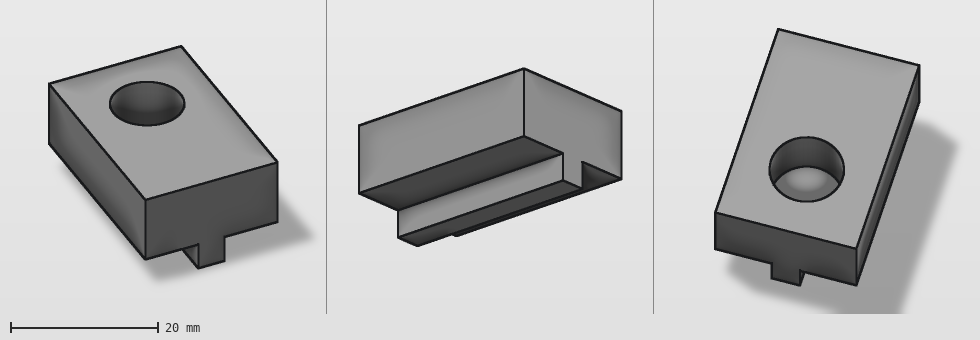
import cadquery as cq

length = 30.0
width = length * 2 / 3
block_height = width / 2

rib_size = width / 5

hole_diameter = 10.1
hole_from_end = length / 3
floor_thickness = rib_size / 2
hole_depth = block_height - floor_thickness


def make_block():
    """Rectangular body with its underside on Z = 0."""
    return cq.Workplane("XY").box(length, width, block_height, centered=(True, True, False))


def make_rib():
    """Square rib hanging below the middle of the block."""
    return (
        cq.Workplane("XY")
        .box(length, rib_size, rib_size, centered=(True, True, False))
        .translate((0, 0, -rib_size))
    )


def make_hole():
    """Flat-bottomed cylinder that opens through the top face."""
    return (
        cq.Workplane("XY", origin=(hole_from_end - length / 2, 0, floor_thickness))
        .circle(hole_diameter / 2)
        .extrude(hole_depth)
    )


result = make_block().union(make_rib()).cut(make_hole())